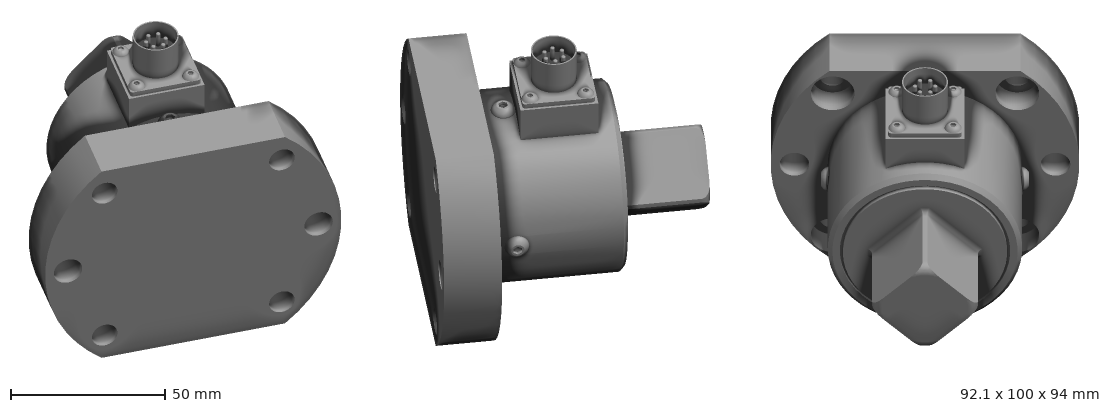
import cadquery as cq
import math


flange_diameter = 100
flange_thickness = 19
flange_height = 78.5
bolt_offset = 29.9
bolt_hole_diameter = 8.6
counterbore_diameter = 14.2
counterbore_depth = 9
plain_hole_diameter = 9.6
plain_hole_offset = bolt_offset * math.sqrt(2)

body_diameter = 63
body_length = 44
body_chamfer = 1.5
groove_width = 1
groove_depth = 1
disc_diameter = 53.2
disc_step = 0.6
disc_face_x = -(body_length + disc_step)

drive_tip_x = -73.1
drive_side = 25.4
drive_corner_diameter = 34.4
drive_tip_radius = 3.2
drive_root_radius = 1.5
drive_length = disc_face_x - drive_tip_x
ball_diameter = 8.2
ball_x = -59.2
ball_axis_distance = 13.2
ball_angle = 135

connector_x = -24.1
block_width = 25.5
block_top_z = 41.3
plate_width = 23.8
plate_thickness = 1.7
plate_corner_radius = 1
plate_top_z = block_top_z + plate_thickness
shell_diameter = 14.9
shell_bore = 14
overall_height = 94
shell_top_z = overall_height - flange_height / 2
shell_floor_depth = 6.5
contact_pin_count = 6
contact_pin_diameter = 1.5
contact_pin_tip_radius = 0.4
contact_pin_circle_radius = 3.3
contact_pin_length = 5

plate_screw_offset = 9.1
plate_screw_size = dict(diameter=5.5, top_diameter=2.9, height=1.3, hex_size=1.8, hex_depth=0.8)
body_screw_x = -7.5
body_screw_size = dict(diameter=8.1, top_diameter=4.4, height=2.2, hex_size=2.8, hex_depth=1.3)
screw_seat_depth = 0.5
socket_point_ratio = 0.25
dome_bulge_ratio = 0.1


def x_cylinder(diameter, x_start, x_end, y=0, z=0):
    """Cylinder along X between two X positions."""
    return (
        cq.Workplane("YZ", origin=(x_start, y, z))
        .circle(diameter / 2)
        .extrude(x_end - x_start)
    )


def make_flange():
    """Disc with flat top and bottom, four counterbored holes and two plain holes."""
    flange = x_cylinder(flange_diameter, 0, flange_thickness)
    flange = flange.intersect(
        cq.Workplane("XY").box(2 * flange_thickness, flange_diameter, flange_height)
    )
    for y in (-bolt_offset, bolt_offset):
        for z in (-bolt_offset, bolt_offset):
            flange = flange.cut(x_cylinder(bolt_hole_diameter, 0, flange_thickness, y, z))
            flange = flange.cut(x_cylinder(counterbore_diameter, 0, counterbore_depth, y, z))
    for y in (-plain_hole_offset, plain_hole_offset):
        flange = flange.cut(x_cylinder(plain_hole_diameter, 0, flange_thickness, y))
    return flange


def make_body():
    """Chamfered cylinder with an end groove around a slightly raised disc."""
    body = x_cylinder(body_diameter, -body_length, 0).faces("<X").chamfer(body_chamfer)
    groove_diameter = disc_diameter + 2 * groove_width
    body = body.cut(x_cylinder(groove_diameter, -body_length, -body_length + groove_depth))
    return body.union(x_cylinder(disc_diameter, disc_face_x, -body_length + groove_depth))


def make_drive_blank():
    """Square bar on its corner, trimmed to a round-ended cylinder."""
    square = (
        cq.Workplane("YZ", origin=(drive_tip_x, 0, 0))
        .transformed(rotate=(0, 0, 45))
        .rect(drive_side, drive_side)
        .extrude(drive_length)
    )
    envelope = x_cylinder(drive_corner_diameter, drive_tip_x, disc_face_x)
    return square.intersect(envelope.faces("<X").edges().fillet(drive_tip_radius))


def add_drive(body):
    """Join the drive to the disc with a root fillet, and add the detent ball on its -Y, -Z side."""
    body = body.union(make_drive_blank())
    selection_margin = 0.1
    root_size = drive_corner_diameter + selection_margin
    root_zone = cq.selectors.BoxSelector(
        (disc_face_x - selection_margin, -root_size / 2, -root_size / 2),
        (disc_face_x + selection_margin, root_size / 2, root_size / 2),
        boundingbox=True,
    )
    body = body.edges(root_zone).fillet(drive_root_radius)
    ball = cq.Workplane("XY", origin=(ball_x, 0, ball_axis_distance)).sphere(ball_diameter / 2)
    collar = cq.Workplane("XY", origin=(ball_x, 0, 0)).circle(ball_diameter / 2).extrude(ball_axis_distance)
    detent = collar.union(ball).rotate((0, 0, 0), (1, 0, 0), ball_angle)
    return body.union(detent)


def make_screw_head(diameter, top_diameter, height, hex_size, hex_depth):
    """Domed head with a hexagon socket that ends in a cone; the seat is at Z = 0."""
    radius = diameter / 2
    top_radius = top_diameter / 2
    chord = math.hypot(radius - top_radius, height)
    dome_bulge = chord * dome_bulge_ratio
    bulge_point = (
        (radius + top_radius) / 2 + dome_bulge * height / chord,
        height / 2 + dome_bulge * (radius - top_radius) / chord,
    )
    head = (
        cq.Workplane("XZ")
        .moveTo(0, -screw_seat_depth)
        .lineTo(radius, -screw_seat_depth)
        .lineTo(radius, 0)
        .threePointArc(bulge_point, (top_radius, height))
        .lineTo(0, height)
        .close()
        .revolve(360, (0, 0, 0), (0, 1, 0))
    )
    socket = (
        cq.Workplane("XY", origin=(0, 0, height - hex_depth))
        .polygon(6, hex_size, circumscribed=True)
        .extrude(hex_depth)
    )
    socket_point = cq.Workplane(
        cq.Solid.makeCone(
            hex_size / 2,
            0,
            hex_size * socket_point_ratio,
            pnt=cq.Vector(0, 0, height - hex_depth),
            dir=cq.Vector(0, 0, -1),
        )
    )
    return head.cut(socket).cut(socket_point)


def make_connector():
    """Block, cover plate with four screws, and a round shell with contact pins."""
    block = cq.Workplane("XY").rect(block_width, block_width).extrude(block_top_z)
    plate = (
        cq.Workplane("XY", origin=(0, 0, block_top_z))
        .rect(plate_width, plate_width)
        .extrude(plate_thickness)
        .edges("|Z")
        .fillet(plate_corner_radius)
    )
    shell = (
        cq.Workplane("XY", origin=(0, 0, plate_top_z))
        .circle(shell_diameter / 2)
        .extrude(shell_top_z - plate_top_z)
        .faces(">Z")
        .workplane()
        .hole(shell_bore, shell_floor_depth)
    )
    contact_pins = (
        cq.Workplane("XY", origin=(0, 0, shell_top_z - shell_floor_depth))
        .polarArray(contact_pin_circle_radius, 90, 360, contact_pin_count)
        .circle(contact_pin_diameter / 2)
        .extrude(contact_pin_length)
        .faces(">Z")
        .edges()
        .fillet(contact_pin_tip_radius)
    )
    connector = block.union(plate).union(shell).union(contact_pins)
    screw = make_screw_head(**plate_screw_size)
    for x in (-plate_screw_offset, plate_screw_offset):
        for y in (-plate_screw_offset, plate_screw_offset):
            connector = connector.union(screw.translate((x, y, plate_top_z)))
    return connector.translate((connector_x, 0, 0))


def add_body_screws(part):
    """Four radial screws around the body, near the flange."""
    screw = make_screw_head(**body_screw_size).translate((body_screw_x, 0, body_diameter / 2))
    for angle in (0, 90, 180, 270):
        part = part.union(screw.rotate((0, 0, 0), (1, 0, 0), angle))
    return part


result = add_drive(make_body())
result = result.union(make_flange())
result = result.union(make_connector())
result = add_body_screws(result)